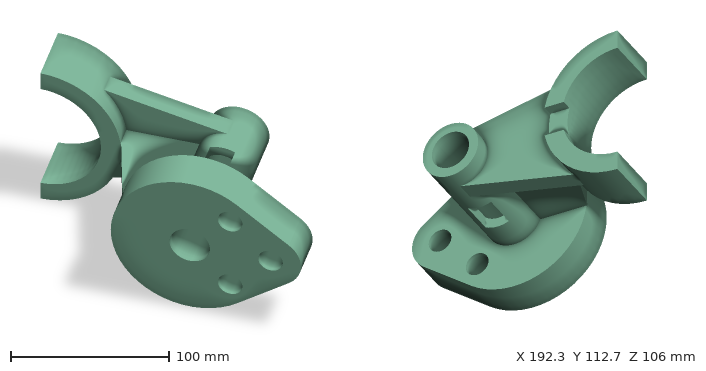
import cadquery as cq
import math

total_depth = 112.7
post_x = 119.2

flange_radius = 52.0
flange_thickness = 26.5
nose_offset = 53.0
nose_radius = 192.3 - post_x - nose_offset
bolt_radius = 8.0
bolt_offset = nose_offset / 2

post_radius = 19.8
bore_radius = 13.3
window_left = post_x - 7.9
window_right = post_x + 8.7
window_front = 48.8
window_back = 72.9

fork_outer_radius = 53.0
fork_inner_radius = 39.8
fork_width = 39.8
fork_front = total_depth - fork_width
notch_width = 21.3
notch_depth = 7.9

web_thickness = 13.3
web_back = total_depth - 13.3
web_front = web_back - web_thickness
web_start_x = 38.0
rib_thickness = 13.5
rib_foot_inset = 1.0


def along_y(start, center_x=0, center_z=0):
    """Workplane facing +Y; its local axes are -X and +Z."""
    plane = cq.Plane(origin=(center_x, start, center_z), xDir=(-1, 0, 0), normal=(0, 1, 0))
    return cq.Workplane(plane)


def cylinder(radius, start, end, center_x=0, center_z=0):
    return along_y(start, center_x, center_z).circle(radius).extrude(end - start)


def box(x_range, y_range, z_range):
    sizes = [high - low for low, high in (x_range, y_range, z_range)]
    corner = (x_range[0], y_range[0], z_range[0])
    return cq.Workplane("XY").box(*sizes, centered=False).translate(corner)


def make_flange():
    """Disc joined to its nose by two straight sides tangent to both arcs."""
    cosine = (flange_radius - nose_radius) / nose_offset
    sine = math.sqrt(1 - cosine**2)
    disc_x = -flange_radius * cosine
    disc_z = flange_radius * sine
    nose_x = -nose_offset - nose_radius * cosine
    nose_z = nose_radius * sine
    return (
        along_y(0, post_x)
        .moveTo(disc_x, disc_z)
        .threePointArc((flange_radius, 0), (disc_x, -disc_z))
        .lineTo(nose_x, -nose_z)
        .threePointArc((-nose_offset - nose_radius, 0), (nose_x, nose_z))
        .close()
        .extrude(flange_thickness)
    )


def make_fork():
    ring = cylinder(fork_outer_radius, fork_front, total_depth)
    open_side = box(
        (-fork_outer_radius, 0),
        (fork_front, total_depth),
        (-fork_outer_radius, fork_outer_radius),
    )
    notch = box(
        (0, fork_outer_radius),
        (total_depth - notch_depth, total_depth),
        (-notch_width / 2, notch_width / 2),
    )
    return ring.cut(open_side).cut(notch)


def make_web():
    """Plate tapering from the fork's outside to the post's diameter."""
    start_z = math.sqrt(fork_outer_radius**2 - web_start_x**2)
    return (
        along_y(web_front)
        .polyline([
            (-web_start_x, -start_z),
            (-web_start_x, start_z),
            (-post_x, post_radius),
            (-post_x, -post_radius),
        ])
        .close()
        .extrude(web_thickness)
    )


def make_rib():
    """Rib from the fork and web down into the rounded edge of the flange."""
    flange_left = post_x - flange_radius
    edge_slope = (fork_front - flange_thickness) / (flange_left - fork_outer_radius)
    foot_x = flange_left + rib_foot_inset
    foot_y = flange_thickness - rib_foot_inset * edge_slope
    return (
        cq.Workplane("XY")
        .polyline([
            (fork_inner_radius, web_front),
            (fork_inner_radius, fork_front),
            (fork_outer_radius, fork_front),
            (foot_x, foot_y),
            (post_x, foot_y),
            (post_x, web_front),
        ])
        .close()
        .extrude(rib_thickness / 2, both=True)
    )


body = make_flange()
body = body.union(cylinder(post_radius, 0, total_depth, post_x))
body = body.union(make_web()).union(make_rib())

body = body.union(make_fork())
body = body.cut(cylinder(fork_inner_radius, fork_front, total_depth))

body = body.cut(cylinder(bore_radius, 0, total_depth, post_x))
bolt_places = [(nose_offset, 0), (bolt_offset, bolt_offset), (bolt_offset, -bolt_offset)]
for offset_x, offset_z in bolt_places:
    body = body.cut(cylinder(bolt_radius, 0, flange_thickness, post_x + offset_x, offset_z))

window = box(
    (window_left, window_right),
    (window_front, window_back),
    (-post_radius, post_radius),
)
result = body.cut(window)